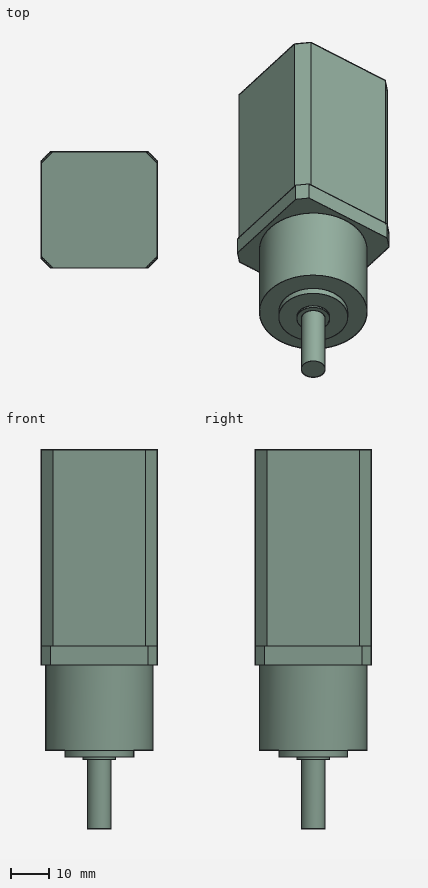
import cadquery as cq

total_height = 98.7
body_width = 30.3

motor_chamfer = 3.1

flange_chamfer = 2.5
flange_thickness = 5.0
housing_diameter = 28.0
housing_length = 22.2
boss_diameter = 18.0
boss_length = 1.8
collar_diameter = 8.6
collar_length = 0.6
shaft_diameter = 6.2
shaft_length = 18.1

collar_bottom = shaft_length
boss_bottom = collar_bottom + collar_length
housing_bottom = boss_bottom + boss_length
flange_bottom = housing_bottom + housing_length
motor_bottom = flange_bottom + flange_thickness


def chamfered_block(bottom, height, chamfer):
    """Square block centred on the Z axis with chamfered vertical edges."""
    block = cq.Workplane("XY").workplane(offset=bottom).rect(body_width, body_width).extrude(height)
    return block.edges("|Z").chamfer(chamfer)


def cylinder(bottom, height, diameter):
    """Round stage centred on the Z axis."""
    return cq.Workplane("XY").workplane(offset=bottom).circle(diameter / 2).extrude(height)


def make_motor():
    return chamfered_block(motor_bottom, total_height - motor_bottom, motor_chamfer)


def make_gearbox():
    """Flange with the housing, boss, collar and output shaft below it."""
    flange = chamfered_block(flange_bottom, flange_thickness, flange_chamfer)
    housing = cylinder(housing_bottom, housing_length, housing_diameter)
    boss = cylinder(boss_bottom, boss_length, boss_diameter)
    collar = cylinder(collar_bottom, collar_length, collar_diameter)
    shaft = cylinder(0, shaft_length, shaft_diameter)
    return flange.union(housing).union(boss).union(collar).union(shaft)


motor = make_motor()
gearbox = make_gearbox()

result = cq.Compound.makeCompound([motor.val(), gearbox.val()])